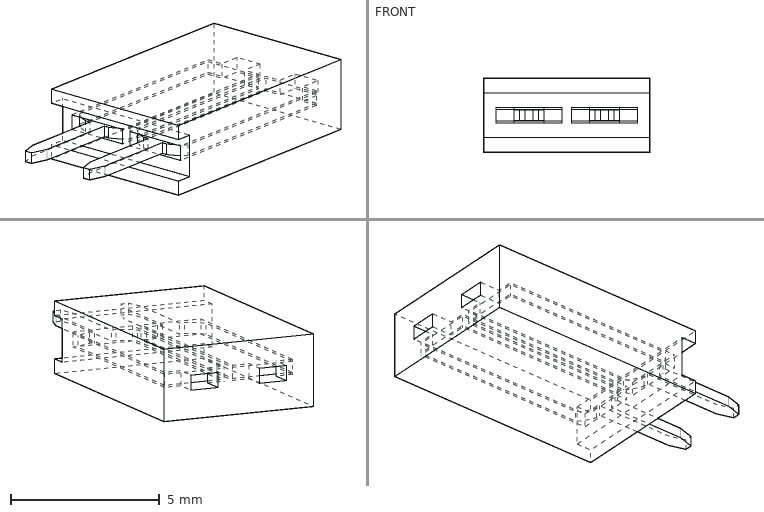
import cadquery as cq
import math

total_length = 11.5
housing_width = 5.58
housing_height = 2.5
pin_projection = 3.0
lip_thickness = 0.51
recess_depth = 0.59
housing_front = pin_projection
housing_length = total_length - pin_projection
recess_floor = housing_front + recess_depth

contact_count = 2
contact_pitch = 2.54
cavity_width = 2.22
cavity_height = 0.52
back_wall = 0.8
cavity_end = total_length - back_wall
mating_width = 1.0

contact_thickness = 0.38
base_width = mating_width
shoulder_start_angle = 19.0
shoulder_radius = 1.51
pin_width = 0.63
pin_tip_width = 0.28
pin_taper_length = 0.6

contact_places = [(i - (contact_count - 1) / 2) * contact_pitch for i in range(contact_count)]


def box_from(front, width, length, height, x=0.0):
    """Box centred on x and on Z = 0, running in +Y from its front face."""
    return (
        cq.Workplane("XY")
        .box(width, length, height, centered=(True, False, True))
        .translate((x, front, 0))
    )


def make_housing():
    housing = box_from(housing_front, housing_width, housing_length, housing_height)
    recess_height = housing_height - 2 * lip_thickness
    housing = housing.cut(box_from(housing_front, housing_width, recess_depth, recess_height))
    for x in contact_places:
        cavity = box_from(recess_floor, cavity_width, cavity_end - recess_floor, cavity_height, x)
        mating_opening = box_from(cavity_end, mating_width, back_wall, cavity_height, x)
        housing = housing.cut(cavity).cut(mating_opening)
    return housing


def shoulder_point(angle):
    """Point on the right-hand shoulder arc where its surface slopes back by the given angle."""
    start = math.radians(shoulder_start_angle)
    x = base_width / 2 + shoulder_radius * (math.sin(angle) - math.sin(start))
    y = recess_floor + shoulder_radius * (math.cos(start) - math.cos(angle))
    return x, y


def make_contact(x):
    half_width = cavity_width / 2
    start = math.radians(shoulder_start_angle)
    end = math.asin(math.sin(start) + (half_width - base_width / 2) / shoulder_radius)
    mid_x, mid_y = shoulder_point((start + end) / 2)
    end_x, end_y = shoulder_point(end)
    outline = (
        cq.Workplane("XY")
        .moveTo(-pin_tip_width / 2, 0)
        .lineTo(pin_tip_width / 2, 0)
        .lineTo(pin_width / 2, pin_taper_length)
        .lineTo(pin_width / 2, recess_floor)
        .lineTo(base_width / 2, recess_floor)
        .threePointArc((mid_x, mid_y), (end_x, end_y))
        .lineTo(half_width, cavity_end)
        .lineTo(-half_width, cavity_end)
        .lineTo(-end_x, end_y)
        .threePointArc((-mid_x, mid_y), (-base_width / 2, recess_floor))
        .lineTo(-pin_width / 2, recess_floor)
        .lineTo(-pin_width / 2, pin_taper_length)
        .close()
    )
    return outline.extrude(contact_thickness / 2, both=True).translate((x, 0, 0))


housing = make_housing()
contacts = [make_contact(x) for x in contact_places]

result = cq.Compound.makeCompound([housing.val(), *[contact.val() for contact in contacts]])